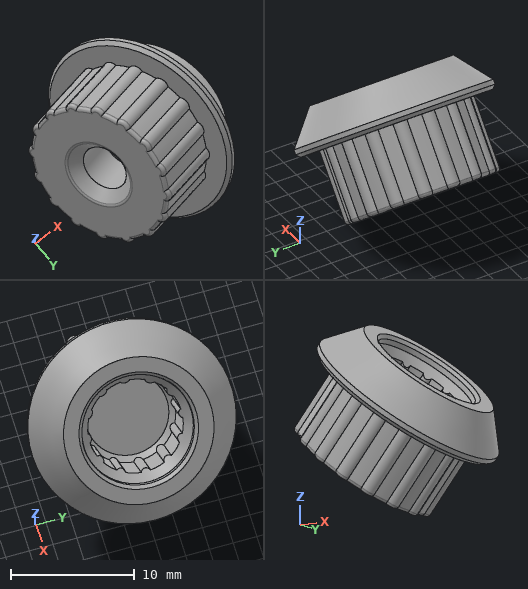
import cadquery as cq
import math

tilt_angle = 40.0

head_diameter = 17.15
head_top_diameter = 12.38
head_height = 3.7
rim_height = 0.75
rim_chamfer = 0.33

grip_height = 6.43
grip_radius = 6.36
grip_rib_count = 16
grip_rib_crest_radius = 6.65
grip_rib_radius = 0.72
grip_end_fillet = 0.31

socket_depth = 5.27
socket_mouth_diameter = 9.25
socket_mouth_chamfer = 0.3
socket_mouth_depth = 0.75
socket_bore_radius = 3.93
socket_floor_radius = 3.45
socket_rib_count = 12
socket_rib_crest_radius = 3.69
socket_rib_radius = 0.46

hole_diameter = 4.0
hole_depth = 4.46
countersink_diameter = 6.0
countersink_edge_fillet = 0.31

rim_bottom = grip_height
total_height = grip_height + head_height
socket_floor = total_height - socket_depth


def revolved(outline):
    """Solid of revolution about Z from (radius, height) points."""
    profile = cq.Workplane("XZ").polyline(outline).close()
    return profile.revolve(360, (0, 0, 0), (0, 1, 0))


def rib_ring(count, centre_radius, rib_radius, bottom, height):
    """Round bars parallel to the axis, evenly spaced on a circle."""
    return (
        cq.Workplane("XY", origin=(0, 0, bottom))
        .polarArray(centre_radius, 0, 360, count)
        .circle(rib_radius)
        .extrude(height)
    )


def make_head():
    head_radius = head_diameter / 2
    return revolved([
        (0, rim_bottom),
        (head_radius - rim_chamfer, rim_bottom),
        (head_radius, rim_bottom + rim_chamfer),
        (head_radius, rim_bottom + rim_height),
        (head_top_diameter / 2, total_height),
        (0, total_height),
    ])


def make_grip():
    """Core and ribs are rounded at the lower end before they are joined."""
    core = cq.Workplane("XY").circle(grip_radius).extrude(grip_height)
    grip = core.faces("<Z").edges().fillet(grip_end_fillet)
    centre_radius = grip_rib_crest_radius - grip_rib_radius
    ribs = rib_ring(grip_rib_count, centre_radius, grip_rib_radius, 0, grip_height)
    return grip.union(ribs.faces("<Z").edges().fillet(grip_end_fillet))


def make_socket():
    """Ribbed bore opened by a 45 degree lead-in cone and a short chamfered mouth."""
    mouth_radius = socket_mouth_diameter / 2
    mouth_bottom = total_height - socket_mouth_depth
    bore = revolved([
        (0, socket_floor),
        (socket_floor_radius, socket_floor),
        (socket_bore_radius, socket_floor + socket_bore_radius - socket_floor_radius),
        (socket_bore_radius, mouth_bottom),
        (0, mouth_bottom),
    ])
    centre_radius = socket_rib_crest_radius + socket_rib_radius
    rib_height = mouth_bottom - socket_floor
    ribs = rib_ring(socket_rib_count, centre_radius, socket_rib_radius, socket_floor, rib_height)
    mouth = revolved([
        (0, mouth_bottom - mouth_radius + socket_floor_radius),
        (socket_floor_radius, mouth_bottom - mouth_radius + socket_floor_radius),
        (mouth_radius, mouth_bottom),
        (mouth_radius, total_height - socket_mouth_chamfer),
        (mouth_radius + socket_mouth_chamfer, total_height),
        (0, total_height),
    ])
    return bore.cut(ribs).union(mouth)


def make_hole():
    """Hole and countersink, with the countersink mouth flared to round its edge."""
    hole_radius = hole_diameter / 2
    sink_radius = countersink_diameter / 2
    cone_angle = math.radians(45)
    half_turn = cone_angle / 2
    tangent_length = countersink_edge_fillet * math.tan(half_turn)
    cone_step = tangent_length * math.sin(cone_angle)
    flare_radius = sink_radius + tangent_length
    flare_middle = (
        flare_radius - countersink_edge_fillet * math.sin(half_turn),
        countersink_edge_fillet * (1 - math.cos(half_turn)),
    )
    profile = (
        cq.Workplane("XZ")
        .lineTo(flare_radius, 0)
        .threePointArc(flare_middle, (sink_radius - cone_step, cone_step))
        .lineTo(hole_radius, sink_radius - hole_radius)
        .lineTo(hole_radius, hole_depth)
        .lineTo(0, hole_depth)
        .close()
    )
    return profile.revolve(360, (0, 0, 0), (0, 1, 0))


body = make_grip().union(make_head()).cut(make_socket()).cut(make_hole())

result = body.rotate((0, 0, 0), (0, 1, 0), tilt_angle)